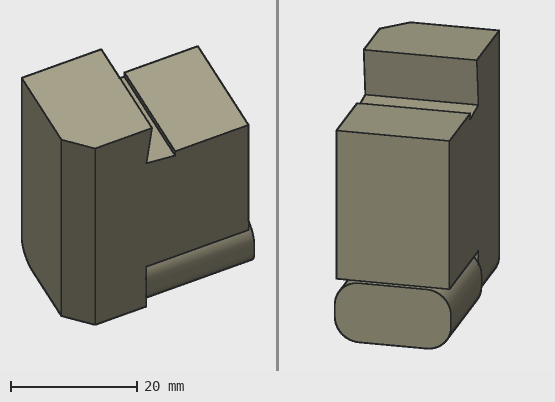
import cadquery as cq
import math

width = 19.05
depth = 32.0
height = 42.6

insert_length = 19.0
insert_height = 10.0
corner_radius = 4.0
side_overhang = 0.5
rear_overhang = 1.02

front_chamfer = 4.0
block_width = width - side_overhang
block_rear = depth - rear_overhang
insert_front = depth - insert_length

shoulder_z = 35.05
groove_rear = 18.05
groove_corner_y = 13.05
groove_corner_z = 34.68
lean_angle = math.radians(7)
jaw_top_y = groove_corner_y + (height - groove_corner_z) * math.tan(lean_angle)
groove_low_z = groove_corner_z - (groove_rear - groove_corner_y) * math.tan(lean_angle)


def make_block():
    """Stepped block, notched below at the back to seat the insert."""
    side_profile = [
        (0, side_overhang),
        (insert_front, side_overhang),
        (insert_front, insert_height),
        (block_rear, insert_height),
        (block_rear, shoulder_z),
        (groove_rear, shoulder_z),
        (groove_rear, groove_low_z),
        (groove_corner_y, groove_corner_z),
        (jaw_top_y, height),
        (0, height),
    ]
    block = (
        cq.Workplane("YZ", origin=(side_overhang, 0, 0))
        .polyline(side_profile)
        .close()
        .extrude(block_width)
    )
    block = block.edges("|Y").edges("<X").edges("<Z").fillet(corner_radius)
    return block.faces("<Y").edges("|Z").edges(">X").chamfer(front_chamfer)


def make_insert():
    """Bar with all four lengthwise edges rounded."""
    return (
        cq.Workplane("XY", origin=(0, insert_front, 0))
        .box(width, insert_length, insert_height, centered=False)
        .edges("|Y")
        .fillet(corner_radius)
    )


block = make_block()
insert = make_insert()

result = cq.Compound.makeCompound([block.val(), insert.val()])